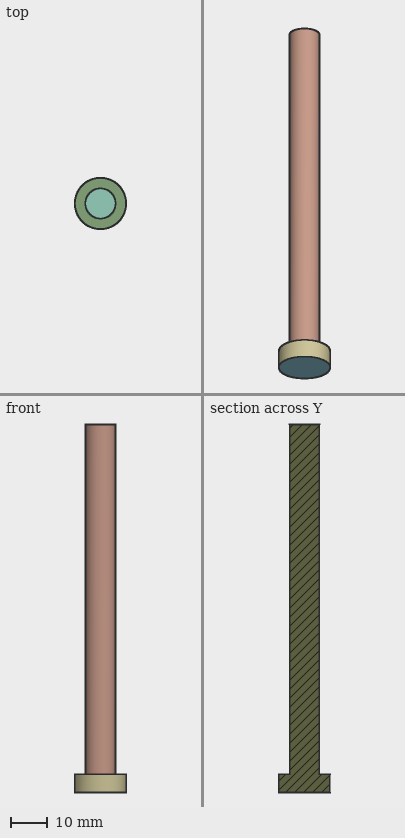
import cadquery as cq

total_length = 100.0
head_diameter = 14.0
head_height = 5.0
shank_diameter = 8.2

head = cq.Workplane("XY").circle(head_diameter / 2).extrude(head_height)
shank = cq.Workplane("XY").circle(shank_diameter / 2).extrude(total_length)

result = head.union(shank)